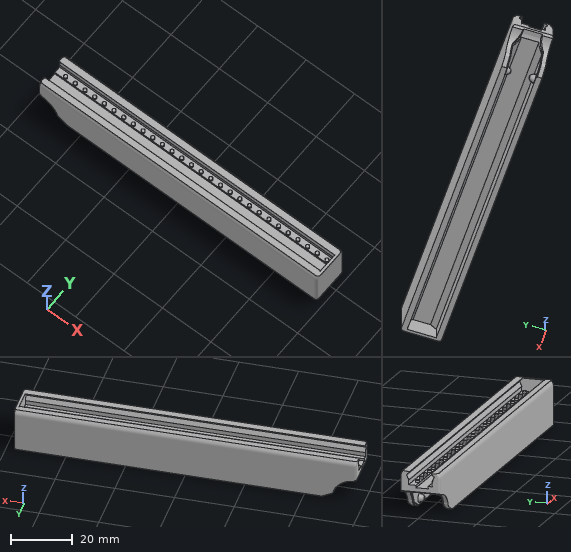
import cadquery as cq
import math

length = 115.0
width = 13.8
height = 15.1
half_width = width / 2

mouth_half = 3.7
top_slope_drop = 0.2
mouth_z = height - top_slope_drop
bevel_inset = 0.5
bevel_drop = 0.7
shoulder_radius = 2.1
front_corner_radius = 0.8
rear_corner_radius = 1.0

end_wall = 1.0
groove_half = 4.7
groove_z = 13.7
lip_half = 3.9
lip_z = 12.1
lip_underside_half = 4.0
lip_underside_z = 11.6
tray_half = 4.0
tray_floor_z = 10.5
channel_floor_z = 9.7
channel_left_y = 1.5
channel_right_y = -2.6

lamp_count = 28
lamp_radius = 0.7
lamp_height = 0.7
lamp_y = 2.3
first_lamp_x = 3.9
lamp_row_length = 108.0

cavity_half = 5.0
cavity_top_z = 7.6
cavity_bevel = 2.0
rim_recess = 0.3

pin_x = 13.8
pin_z = 2.2
pin_base_radius = 1.6
pin_shoulder_radius = 1.2
pin_shoulder_length = 1.0
pin_tip_radius = 0.6
pin_length = 1.7

nose_start = (0, 8.3)
scoop_start = (0.8, 7.7)
scoop_middle = (5.9, 5.5)
scoop_end = (7.6, 3.0)
foot_middle = (7.8, 2.3)
foot_end = (8.5, 1.6)
underside_start = (11.7, 0)


def extrude_profile(profile, start_x, end_x):
    """Sweep a closed (y, z) wire from start_x to end_x."""
    return profile.extrude(end_x - start_x).translate((start_x, 0, 0))


def make_body():
    """Solid bar with rounded shoulders and rounded upright edges."""
    angle = math.atan2(bevel_inset, bevel_drop)
    bevel_z = height - bevel_drop
    bevel_y = half_width - shoulder_radius * (1 - math.cos(angle))
    wall_top_z = bevel_z - shoulder_radius * math.sin(angle)
    arc_y = half_width - shoulder_radius * (1 - math.cos(angle / 2))
    arc_z = wall_top_z + shoulder_radius * math.sin(angle / 2)
    profile = (
        cq.Workplane("YZ")
        .moveTo(-half_width, 0)
        .lineTo(half_width, 0)
        .lineTo(half_width, wall_top_z)
        .threePointArc((arc_y, arc_z), (bevel_y, bevel_z))
        .lineTo(bevel_y - bevel_inset, height)
        .lineTo(mouth_half, mouth_z)
        .lineTo(-mouth_half, mouth_z)
        .lineTo(bevel_inset - bevel_y, height)
        .lineTo(-bevel_y, bevel_z)
        .threePointArc((-arc_y, arc_z), (-half_width, wall_top_z))
        .close()
    )
    body = extrude_profile(profile, 0, length)
    margin = half_width - bevel_y + bevel_inset
    for end_x, radius in ((0, front_corner_radius), (length, rear_corner_radius)):
        for side in (-1, 1):
            corner = cq.selectors.BoxSelector(
                (end_x - margin, side * (half_width - margin), margin),
                (end_x + margin, side * (half_width + margin), height - bevel_drop / 4),
            )
            body = body.edges(corner).fillet(radius)
    return body


def make_tray():
    """Space removed from the top: undercut mouth, side grooves, ledges, deeper channel."""
    profile = cq.Workplane("YZ").polyline([
        (-mouth_half, height),
        (-mouth_half, mouth_z),
        (-groove_half, groove_z),
        (-lip_half, lip_z),
        (-lip_underside_half, lip_underside_z),
        (-tray_half, tray_floor_z),
        (channel_right_y, tray_floor_z),
        (channel_right_y, channel_floor_z),
        (channel_left_y, channel_floor_z),
        (channel_left_y, tray_floor_z),
        (tray_half, tray_floor_z),
        (lip_underside_half, lip_underside_z),
        (lip_half, lip_z),
        (groove_half, groove_z),
        (mouth_half, mouth_z),
        (mouth_half, height),
    ]).close()
    return extrude_profile(profile, 0, length - end_wall)


def make_lamps():
    """Evenly spaced round lamps."""
    pitch = lamp_row_length / (lamp_count - 1)
    centres = [(first_lamp_x + i * pitch, lamp_y) for i in range(lamp_count)]
    ledge = cq.Workplane("XY", origin=(0, 0, tray_floor_z))
    return ledge.pushPoints(centres).circle(lamp_radius).extrude(lamp_height)


def make_cavity(clearance=0):
    """Space below the tray with bevelled upper corners, enlarged all round by a clearance."""
    side_y = cavity_half + clearance
    ceiling_z = cavity_top_z + clearance
    corner = cavity_bevel + clearance * (2 - math.sqrt(2))
    profile = cq.Workplane("YZ").polyline([
        (-side_y, 0),
        (-side_y, ceiling_z - corner),
        (corner - side_y, ceiling_z),
        (side_y - corner, ceiling_z),
        (side_y, ceiling_z - corner),
        (side_y, 0),
    ]).close()
    return extrude_profile(profile, 0, length - end_wall)


def make_snap_pin(side):
    """Pin on one side wall, tapering towards the middle and more steeply at its tip."""
    profile = (
        cq.Workplane("XY")
        .polyline([
            (0, 0),
            (pin_base_radius, 0),
            (pin_shoulder_radius, pin_shoulder_length),
            (pin_tip_radius, pin_length),
            (0, pin_length),
        ])
        .close()
    )
    pin = profile.revolve(360, (0, 0), (0, 1))
    if side > 0:
        pin = pin.mirror("XZ")
    return pin.translate((pin_x, side * cavity_half, pin_z))


def make_scoop():
    """Space removed under the front end: nose bevel, large hollow, sloped foot."""
    profile = (
        cq.Workplane("XZ")
        .moveTo(0, 0)
        .lineTo(*nose_start)
        .lineTo(*scoop_start)
        .threePointArc(scoop_middle, scoop_end)
        .threePointArc(foot_middle, foot_end)
        .lineTo(*underside_start)
        .close()
    )
    return profile.extrude(half_width, both=True)


def make_cavity_rim():
    """Shallow recess that follows the scoop around the mouth of the cavity."""
    return make_scoop().translate((rim_recess, 0, rim_recess)).intersect(make_cavity(rim_recess))


body = make_body().cut(make_tray()).cut(make_scoop())
result = body.cut(make_cavity()).cut(make_cavity_rim()).union(make_lamps())
for wall_side in (-1, 1):
    result = result.union(make_snap_pin(wall_side))